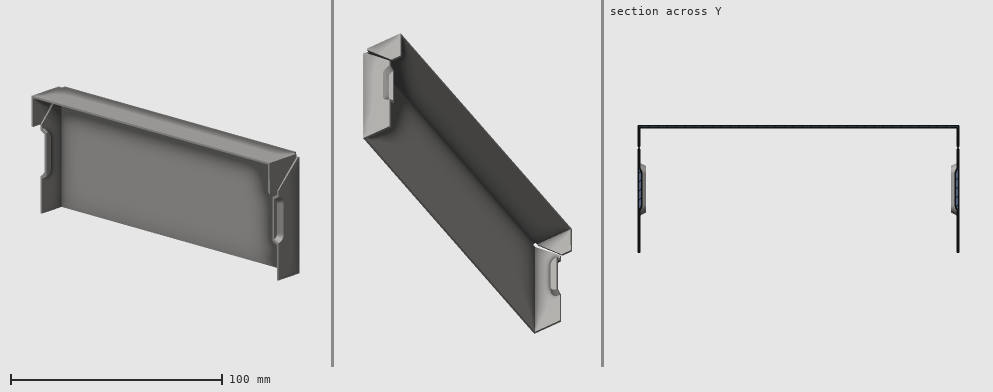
import cadquery as cq
import math

length = 152.0
depth = 21.0
height = 60.0
sheet = 0.99

side_wall_depth = 14.9
top_flange_drop = 15.4
top_flange_reach = 15.8
flange_splay = 0.08
corner_relief = 2.1

recess_top = height - 22.5
recess_bottom = height - 37.7
recess_radius = 3.8
recess_floor_radius = 2.3
recess_depth = 2.81
recess_skin_radius = 4.9

body_length = length - 2 * flange_splay
half_length = body_length / 2
side_wall_front = depth - side_wall_depth


def box(x_size, y_size, z_size, x_min, y_min, z_min):
    return cq.Workplane("XY").box(x_size, y_size, z_size, centered=False).translate((x_min, y_min, z_min))


def side_plate(points):
    """Sheet in the left side plane, from (Y, Z) points."""
    return cq.Workplane("YZ", origin=(-half_length, 0, 0)).polyline(points).close().extrude(sheet)


def tapered_slot(x_start, radius, rise, taper):
    """Upright round-ended slot on the wall's front edge, narrowing toward +X."""
    slot_centre = (x_start, side_wall_front, (recess_top + recess_bottom) / 2)
    slot_length = recess_top - recess_bottom + 2 * radius
    return (
        cq.Workplane("YZ", origin=slot_centre)
        .slot2D(slot_length, 2 * radius, 90)
        .extrude(rise, taper=taper)
    )


def left_side_wall():
    wall = side_plate([
        (depth, 0),
        (side_wall_front, 0),
        (side_wall_front, height - top_flange_drop),
        (depth - sheet, height - corner_relief),
        (depth, height - corner_relief),
    ])
    taper = math.degrees(math.atan((recess_radius - recess_floor_radius) / recess_depth))
    skin = tapered_slot(-half_length + sheet, recess_skin_radius, recess_depth, taper)
    hollow = tapered_slot(-half_length, recess_radius, recess_depth, taper)
    skin = skin.intersect(box(body_length, side_wall_depth, height, -half_length, side_wall_front, 0))
    return wall.union(skin).cut(hollow)


def left_top_flange():
    flange = side_plate([
        (0, height),
        (0, height - top_flange_drop),
        (depth - top_flange_reach, height - top_flange_drop),
        (depth - corner_relief, height - sheet),
        (depth - corner_relief, height),
    ])
    lean = math.degrees(math.atan(flange_splay / top_flange_drop))
    return flange.rotate((-half_length, 0, height), (-half_length, depth, height), lean)


back_panel = box(body_length, sheet, height, -half_length, depth - sheet, 0)
top_panel = box(body_length, depth, sheet, -half_length, 0, height - sheet)
result = back_panel.union(top_panel)

for flange in (left_side_wall(), left_top_flange()):
    result = result.union(flange).union(flange.mirror("YZ"))

for relief_x in (-half_length, half_length - corner_relief):
    relief = box(
        corner_relief, corner_relief, corner_relief,
        relief_x, depth - corner_relief, height - corner_relief,
    )
    result = result.cut(relief)